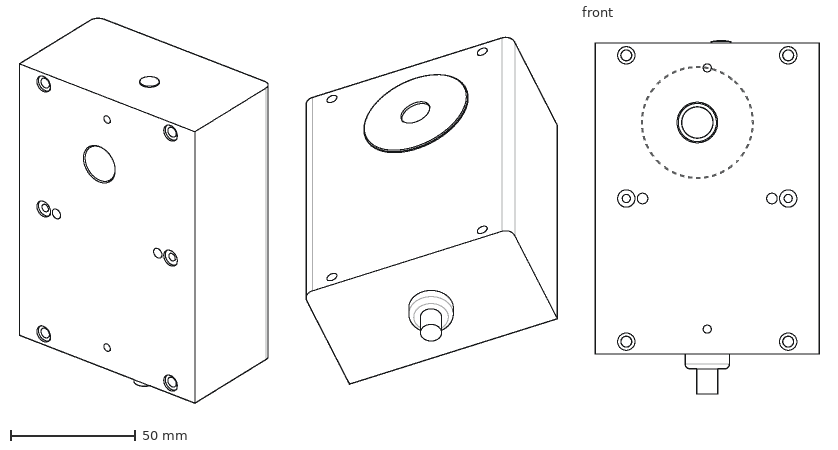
import cadquery as cq
import math

HOUSING_WIDTH = 90.0
HOUSING_DEPTH = 50.0
HOUSING_HEIGHT = 125.0
REAR_EDGE_RADIUS = 4.0

BOSS_DIAMETER = 45.0
BOSS_THICKNESS = 1.0
BOSS_CHAMFER = 0.4

BORE_X = -4.0
BORE_Z = 30.5
BORE_DIAMETER = 15.3
BORE_LIP_CHAMFER = 0.5
BORE_OUTLET_DIAMETER = 12.5

SCREW_COLUMN_SPACING = 65.0
SCREW_END_SPACING = 115.0
COUNTERBORE_DIAMETER = 7.0
COUNTERBORE_DEPTH = 1.0
SCREW_HOLE_DIAMETER = 4.3

BLIND_HOLE_DEPTH = 8.0
DRILL_TIP_ANGLE = 118
TAPPED_HOLE_DIAMETER = 3.3
TAPPED_HOLE_SPACING = 105.0
SIDE_HOLE_DIAMETER = 4.3
SIDE_HOLE_SPACING = 52.0

LENS_DIAMETER = 8.0
LENS_RIM_HEIGHT = 0.5
LENS_DOME_HEIGHT = 0.5
LENS_X = 5.5
LENS_Y = 20.5

OUTLET_Y = 24.1
COLLAR_DIAMETER = 17.9
COLLAR_HEIGHT = 6.0
COLLAR_EDGE_RADIUS = 2.0
CABLE_DIAMETER = 8.5
CABLE_LENGTH = 10.1

TOP_Z = HOUSING_HEIGHT / 2
BOTTOM_Z = -HOUSING_HEIGHT / 2


def rod_along_y(x, z, diameter, y_start, y_end):
    """Cylinder parallel to Y between two Y positions."""
    return cq.Workplane(
        cq.Solid.makeCylinder(
            diameter / 2, y_end - y_start, cq.Vector(x, y_start, z), cq.Vector(0, 1, 0)
        )
    )


def drilled_hole(x, z, diameter):
    """Cutter for a blind hole in the front face with a conical drill tip."""
    radius = diameter / 2
    tip_length = radius / math.tan(math.radians(DRILL_TIP_ANGLE / 2))
    tip = cq.Solid.makeCone(
        radius, 0, tip_length, cq.Vector(x, BLIND_HOLE_DEPTH, z), cq.Vector(0, 1, 0)
    )
    return rod_along_y(x, z, diameter, 0, BLIND_HOLE_DEPTH).union(cq.Workplane(tip))


def make_block():
    """Rectangular block with its upright rear edges rounded."""
    block = cq.Workplane("XY").box(
        HOUSING_WIDTH, HOUSING_DEPTH, HOUSING_HEIGHT, centered=(True, False, True)
    )
    return block.edges("|Z and >Y").fillet(REAR_EDGE_RADIUS)


def make_boss():
    """Thin disc on the rear face with a bevelled rim."""
    boss = rod_along_y(BORE_X, BORE_Z, BOSS_DIAMETER, HOUSING_DEPTH, HOUSING_DEPTH + BOSS_THICKNESS)
    return boss.faces(">Y").chamfer(BOSS_CHAMFER)


def make_bore():
    """Cutter for the stepped shaft bore with its chamfered front lip."""
    radius = BORE_DIAMETER / 2
    lip = cq.Solid.makeCone(
        radius + BORE_LIP_CHAMFER, radius, BORE_LIP_CHAMFER,
        cq.Vector(BORE_X, 0, BORE_Z), cq.Vector(0, 1, 0),
    )
    wide_part = rod_along_y(BORE_X, BORE_Z, BORE_DIAMETER, 0, HOUSING_DEPTH)
    outlet = rod_along_y(BORE_X, BORE_Z, BORE_OUTLET_DIAMETER, 0, HOUSING_DEPTH + BOSS_THICKNESS)
    return wide_part.union(outlet).union(cq.Workplane(lip))


def make_housing():
    housing = make_block().union(make_boss()).cut(make_bore())

    for side in (-1, 1):
        x = side * SCREW_COLUMN_SPACING / 2
        for level in (-1, 0, 1):
            z = level * SCREW_END_SPACING / 2
            housing = housing.cut(rod_along_y(x, z, COUNTERBORE_DIAMETER, 0, COUNTERBORE_DEPTH))
            if level == 0:
                housing = housing.cut(drilled_hole(x, z, TAPPED_HOLE_DIAMETER))
            else:
                housing = housing.cut(rod_along_y(x, z, SCREW_HOLE_DIAMETER, 0, HOUSING_DEPTH))

    for side in (-1, 1):
        housing = housing.cut(drilled_hole(side * SIDE_HOLE_SPACING / 2, 0, SIDE_HOLE_DIAMETER))
        housing = housing.cut(drilled_hole(0, side * TAPPED_HOLE_SPACING / 2, TAPPED_HOLE_DIAMETER))
    return housing


def make_lens():
    """Short cylinder on the top face, capped by a shallow spherical dome."""
    rim_radius = LENS_DIAMETER / 2
    peak_height = LENS_RIM_HEIGHT + LENS_DOME_HEIGHT
    sphere_radius = (rim_radius**2 + LENS_DOME_HEIGHT**2) / (2 * LENS_DOME_HEIGHT)
    half_angle = math.asin(rim_radius / sphere_radius) / 2
    arc_middle = (
        sphere_radius * math.sin(half_angle),
        peak_height - sphere_radius * (1 - math.cos(half_angle)),
    )
    half_profile = (
        cq.Workplane("XZ")
        .lineTo(rim_radius, 0)
        .lineTo(rim_radius, LENS_RIM_HEIGHT)
        .threePointArc(arc_middle, (0, peak_height))
        .close()
    )
    return half_profile.revolve(360, (0, 0), (0, 1)).translate((LENS_X, LENS_Y, TOP_Z))


def make_cable_outlet():
    """Collar with a rounded lower edge and the cable leaving it downwards."""
    collar = (
        cq.Workplane("XY", origin=(0, OUTLET_Y, BOTTOM_Z))
        .circle(COLLAR_DIAMETER / 2)
        .extrude(-COLLAR_HEIGHT)
        .faces("<Z")
        .edges()
        .fillet(COLLAR_EDGE_RADIUS)
    )
    cable = (
        cq.Workplane("XY", origin=(0, OUTLET_Y, BOTTOM_Z - COLLAR_HEIGHT))
        .circle(CABLE_DIAMETER / 2)
        .extrude(-CABLE_LENGTH)
    )
    return collar.union(cable)


housing = make_housing()
lens = make_lens()
cable_outlet = make_cable_outlet()

result = cq.Compound.makeCompound([housing.val(), lens.val(), cable_outlet.val()])